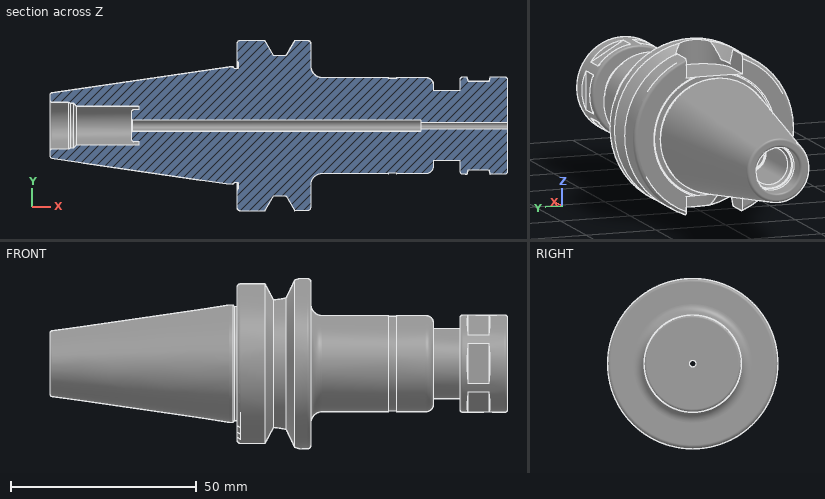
import cadquery as cq
import math


GAUGE_DIAMETER = 31.75
TAPER_LENGTH = 48.4
TAPER_RATIO = 7 / 24
SMALL_END_DIAMETER = GAUGE_DIAMETER - TAPER_LENGTH * TAPER_RATIO
SMALL_END_ROUNDING = 0.8
SMALL_END_X = -TAPER_LENGTH

RELIEF_DIAMETER = 30.9
RELIEF_START_X = 0.95
RELIEF_STEP = (GAUGE_DIAMETER - RELIEF_DIAMETER) / 2
FACE_RELIEF_DIAMETER = 34.8
FACE_RELIEF_DEPTH = 0.35

FLANGE_DIAMETER = 46.0
FLANGE_START_X = 2.0
FLANGE_END_X = 22.0
FLANGE_EDGE_ROUNDING = 1.0
GROOVE_FLOOR_DIAMETER = 38.0
GROOVE_CENTER_X = 13.6
GROOVE_FLOOR_WIDTH = 3.4
GROOVE_FLANK_ANGLE = 30.0

SLOT_WIDTH = 16.1
SLOT_FLOOR_HEIGHT = 16.3
SLOT_END_X = 18.9

BODY_DIAMETER = 26.0
BODY_END_X = 55.05
BODY_EDGE_ROUNDING = 2.1
BODY_ROOT_RADIUS = 3.0
BAND_DIAMETER = 25.6
BAND_START_X = 42.85
BAND_END_X = 45.05
NECK_DIAMETER = 19.0

NUT_DIAMETER = 26.3
NUT_START_X = 62.1
NUT_END_X = 75.0
NUT_EDGE_ROUNDING = 0.8
NUT_FLAT_COUNT = 6
NUT_FLAT_SIZE = 24.0
NUT_FLAT_START_X = 64.35
NUT_FLAT_LENGTH = 5.6
NUT_FLAT_WALL_ANGLE = 15.0

PILOT_DIAMETER = 12.5
PILOT_MOUTH_ROUNDING = 0.7
PILOT_DEPTH = 5.0
PILOT_TAPER_LENGTH = 0.6
THREAD_RUNOUT_DIAMETER = 12.0
THREAD_RUNOUT_LENGTH = 0.8
THREAD_DIAMETER = 10.4
THREAD_DEPTH = 24.0

PLUG_DIAMETER = 8.8
PLUG_FACE_DIAMETER = 7.79
PLUG_HEIGHT = 2.0

PASSAGE_MOUTH_DIAMETER = 3.5
PASSAGE_DIAMETER = 3.0
PASSAGE_DEPTH = 100.0
COOLANT_DIAMETER = 1.7


def make_turned_body():
    """Revolve the outer profile of the shank, flange, body and nut."""
    flange_r = FLANGE_DIAMETER / 2
    body_r = BODY_DIAMETER / 2
    band_r = BAND_DIAMETER / 2
    groove_r = GROOVE_FLOOR_DIAMETER / 2
    nut_r = NUT_DIAMETER / 2
    relief_r = RELIEF_DIAMETER / 2
    face_relief_r = FACE_RELIEF_DIAMETER / 2
    neck_r = NECK_DIAMETER / 2
    face_relief_x = FLANGE_START_X + FACE_RELIEF_DEPTH
    half_floor = GROOVE_FLOOR_WIDTH / 2
    flank_run = (flange_r - groove_r) * math.tan(math.radians(GROOVE_FLANK_ANGLE))
    shank_edge_r = SMALL_END_DIAMETER / 2 + SMALL_END_ROUNDING * TAPER_RATIO / 2
    end_edge_x = SMALL_END_X + SMALL_END_ROUNDING
    flange_edge_r = flange_r - FLANGE_EDGE_ROUNDING
    root_r = body_r + BODY_ROOT_RADIUS
    body_edge_r = body_r - BODY_EDGE_ROUNDING
    nut_edge_r = nut_r - NUT_EDGE_ROUNDING

    profile = (
        cq.Workplane("XY")
        .moveTo(SMALL_END_X, 0)
        .lineTo(SMALL_END_X, shank_edge_r - SMALL_END_ROUNDING)
        .radiusArc((end_edge_x, shank_edge_r), SMALL_END_ROUNDING)
        .lineTo(0, GAUGE_DIAMETER / 2)
        .lineTo(RELIEF_START_X, GAUGE_DIAMETER / 2)
        .lineTo(RELIEF_START_X + RELIEF_STEP, relief_r)
        .lineTo(face_relief_x, relief_r)
        .lineTo(face_relief_x, face_relief_r - FACE_RELIEF_DEPTH)
        .lineTo(FLANGE_START_X, face_relief_r)
        .lineTo(FLANGE_START_X, flange_edge_r)
        .radiusArc((FLANGE_START_X + FLANGE_EDGE_ROUNDING, flange_r), FLANGE_EDGE_ROUNDING)
        .lineTo(GROOVE_CENTER_X - half_floor - flank_run, flange_r)
        .lineTo(GROOVE_CENTER_X - half_floor, groove_r)
        .lineTo(GROOVE_CENTER_X + half_floor, groove_r)
        .lineTo(GROOVE_CENTER_X + half_floor + flank_run, flange_r)
        .lineTo(FLANGE_END_X - FLANGE_EDGE_ROUNDING, flange_r)
        .radiusArc((FLANGE_END_X, flange_edge_r), FLANGE_EDGE_ROUNDING)
        .lineTo(FLANGE_END_X, root_r)
        .radiusArc((FLANGE_END_X + BODY_ROOT_RADIUS, body_r), -BODY_ROOT_RADIUS)
        .lineTo(BAND_START_X, body_r)
        .lineTo(BAND_START_X, band_r)
        .lineTo(BAND_END_X, band_r)
        .lineTo(BAND_END_X, body_r)
        .lineTo(BODY_END_X - BODY_EDGE_ROUNDING, body_r)
        .radiusArc((BODY_END_X, body_edge_r), BODY_EDGE_ROUNDING)
        .lineTo(BODY_END_X, neck_r)
        .lineTo(NUT_START_X, neck_r)
        .lineTo(NUT_START_X, nut_edge_r)
        .radiusArc((NUT_START_X + NUT_EDGE_ROUNDING, nut_r), NUT_EDGE_ROUNDING)
        .lineTo(NUT_END_X - NUT_EDGE_ROUNDING, nut_r)
        .radiusArc((NUT_END_X, nut_edge_r), NUT_EDGE_ROUNDING)
        .lineTo(NUT_END_X, 0)
        .close()
    )
    return profile.revolve(360, (0, 0, 0), (1, 0, 0))


def make_drive_slot():
    """Cutter for one drive slot on the +Z side, with a round end."""
    half_width = SLOT_WIDTH / 2
    arc_x = SLOT_END_X - half_width
    return (
        cq.Workplane("XY", origin=(0, 0, SLOT_FLOOR_HEIGHT))
        .moveTo(0, -half_width)
        .lineTo(arc_x, -half_width)
        .threePointArc((SLOT_END_X, 0), (arc_x, half_width))
        .lineTo(0, half_width)
        .close()
        .extrude(FLANGE_DIAMETER)
    )


def make_nut_flat():
    """Cutter for one wrench flat on the +Y side, with sloping end walls."""
    cut_height = NUT_DIAMETER - NUT_FLAT_SIZE
    wall_run = cut_height * math.tan(math.radians(NUT_FLAT_WALL_ANGLE))
    floor_y = NUT_FLAT_SIZE / 2
    floor_end_x = NUT_FLAT_START_X + NUT_FLAT_LENGTH
    return (
        cq.Workplane("XY")
        .moveTo(NUT_FLAT_START_X, floor_y)
        .lineTo(floor_end_x, floor_y)
        .lineTo(floor_end_x + wall_run, floor_y + cut_height)
        .lineTo(NUT_FLAT_START_X - wall_run, floor_y + cut_height)
        .close()
        .extrude(NUT_DIAMETER / 2, both=True)
    )


def make_bore():
    """Revolve the pull stud socket and the stepped coolant passage."""
    pilot_r = PILOT_DIAMETER / 2
    runout_r = THREAD_RUNOUT_DIAMETER / 2
    thread_r = THREAD_DIAMETER / 2
    plug_r = PLUG_DIAMETER / 2
    plug_face_r = PLUG_FACE_DIAMETER / 2
    passage_mouth_r = PASSAGE_MOUTH_DIAMETER / 2
    passage_r = PASSAGE_DIAMETER / 2
    coolant_r = COOLANT_DIAMETER / 2
    pilot_x = SMALL_END_X + PILOT_DEPTH
    runout_start_x = pilot_x + PILOT_TAPER_LENGTH
    runout_end_x = runout_start_x + THREAD_RUNOUT_LENGTH
    thread_x = SMALL_END_X + THREAD_DEPTH
    plug_face_x = thread_x - PLUG_HEIGHT
    passage_x = SMALL_END_X + PASSAGE_DEPTH
    profile = (
        cq.Workplane("XY")
        .moveTo(SMALL_END_X, 0)
        .lineTo(SMALL_END_X, pilot_r + PILOT_MOUTH_ROUNDING)
        .radiusArc((SMALL_END_X + PILOT_MOUTH_ROUNDING, pilot_r), -PILOT_MOUTH_ROUNDING)
        .lineTo(pilot_x, pilot_r)
        .lineTo(runout_start_x, runout_r)
        .lineTo(runout_end_x, runout_r)
        .lineTo(runout_end_x + runout_r - thread_r, thread_r)
        .lineTo(thread_x, thread_r)
        .lineTo(thread_x, plug_r)
        .lineTo(plug_face_x + plug_r - plug_face_r, plug_r)
        .lineTo(plug_face_x, plug_face_r)
        .lineTo(plug_face_x, passage_mouth_r)
        .lineTo(plug_face_x + passage_mouth_r - passage_r, passage_r)
        .lineTo(passage_x, passage_r)
        .lineTo(passage_x, coolant_r)
        .lineTo(NUT_END_X, coolant_r)
        .lineTo(NUT_END_X, 0)
        .close()
    )
    return profile.revolve(360, (0, 0, 0), (1, 0, 0))


result = make_turned_body().cut(make_bore())

for slot_angle in (0, 180):
    result = result.cut(make_drive_slot().rotate((0, 0, 0), (1, 0, 0), slot_angle))

for flat_index in range(NUT_FLAT_COUNT):
    flat_angle = flat_index * 360 / NUT_FLAT_COUNT
    result = result.cut(make_nut_flat().rotate((0, 0, 0), (1, 0, 0), flat_angle))